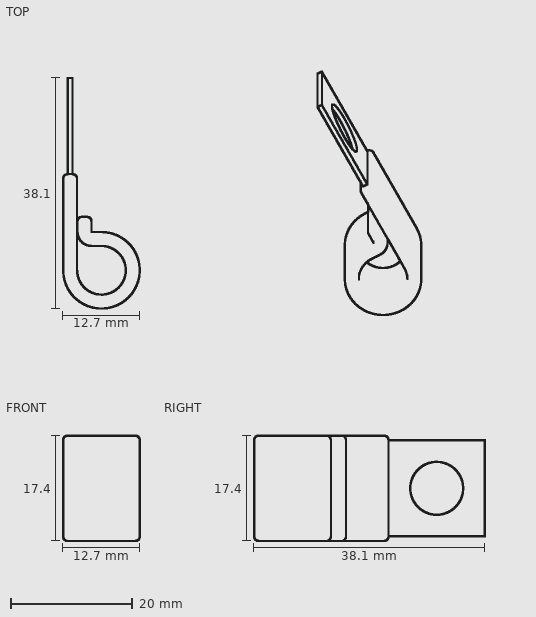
import cadquery as cq

strap_thickness = 0.813
strap_width = 15.876
cushion = 0.762
wall = strap_thickness + 2 * cushion
jacket_width = strap_width + 2 * cushion

loop_outer_diameter = 12.67
loop_outer_radius = loop_outer_diameter / 2
loop_inner_radius = loop_outer_radius - wall
loop_sweep = 270

overall_length = 38.06
strap_end = overall_length - loop_outer_radius
jacket_end = strap_end / 2
hole_diameter = 8.7
hole_y = (jacket_end + strap_end) / 2

tip_gap = 0.03
tip_length = 2.5
leg_inner_x = -loop_inner_radius
bend_x = leg_inner_x + tip_gap + wall
bend_y = loop_outer_radius
bend_sweep = 90


def jacket_profile(min_x):
    """Rounded jacket cross-section in the XZ plane, with its -X face at min_x."""
    section = cq.Sketch().rect(wall, jacket_width).vertices().fillet(cushion)
    return cq.Workplane("XZ").center(min_x + wall / 2, 0).placeSketch(section)


def revolve_profile(profile, axis_offset, sweep):
    """Sweep a jacket section about a Z-parallel axis axis_offset to its +X side."""
    return profile.revolve(sweep, (axis_offset, 0), (axis_offset, 1))


def jacket_straight_end(min_x, start_y, end_y):
    """Straight jacket run along +Y with every edge of its free end rounded."""
    length = end_y - start_y
    return (
        cq.Workplane("XY")
        .box(wall, length, jacket_width)
        .edges("not <Y")
        .fillet(cushion)
        .translate((min_x + wall / 2, (start_y + end_y) / 2, 0))
    )


def make_loop():
    """Three quarters of a ring, from the leg round to the +Y side."""
    profile = jacket_profile(-loop_outer_radius)
    return revolve_profile(profile, loop_outer_radius - wall / 2, loop_sweep)


def make_hook():
    """Short run from the loop, a quarter bend, and the rounded tip beside the leg."""
    run = (
        jacket_profile(-wall)
        .extrude(bend_x)
        .rotate((0, 0, 0), (0, 0, 1), 90)
        .translate((0, bend_y, 0))
    )
    bend = revolve_profile(jacket_profile(-wall), wall / 2, bend_sweep)
    bend = bend.translate((bend_x, bend_y, 0))
    tip = jacket_straight_end(bend_x - wall, bend_y, bend_y + tip_length)
    return run.union(bend).union(tip)


def make_strap():
    """Bare metal strap running out of the jacket, with its mounting hole."""
    strap_x = -loop_outer_radius + wall / 2
    strap = (
        cq.Workplane("XY")
        .box(strap_thickness, strap_end, strap_width)
        .translate((strap_x, strap_end / 2, 0))
    )
    hole = (
        cq.Workplane("YZ", origin=(strap_x, hole_y, 0))
        .circle(hole_diameter / 2)
        .extrude(wall, both=True)
    )
    return strap.cut(hole)


leg = jacket_straight_end(-loop_outer_radius, 0, jacket_end)
result = make_loop().union(leg).union(make_hook()).union(make_strap())